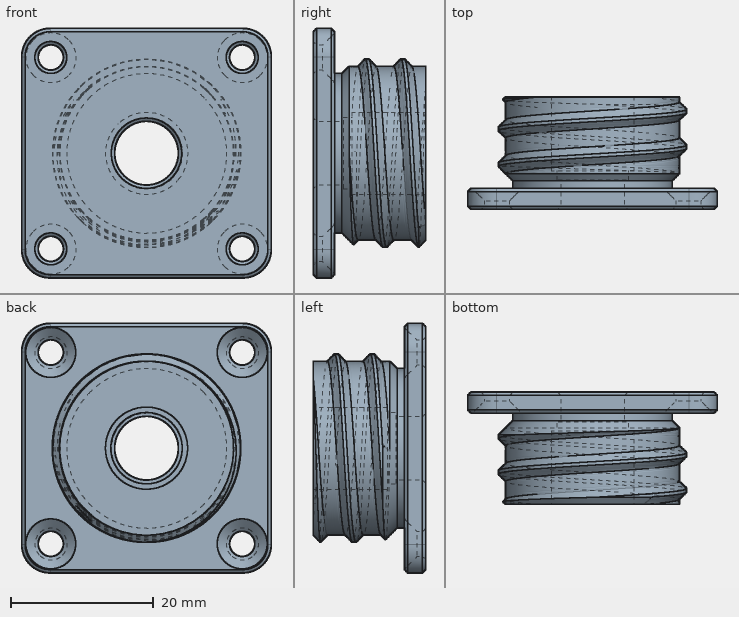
import cadquery as cq
import math

flange_side = 35
flange_thickness = 3.0
corner_radius = 4.02
edge_chamfer = 0.5
screw_hole_diameter = 3.5
screw_head_diameter = 7
screw_hole_spacing = 26.8

overall_length = 15.8
neck_diameter = 22.4
root_diameter = 24.4
neck_length = 1.0
flare_start = flange_thickness + neck_length

bore_diameter = 8.9
seat_diameter = 10.0
seat_start = 4.2
seat_length = 1.22
cavity_diameter = 11.5

thread_pitch = 5.0
thread_height = 1.0
crest_width = 0.5
thread_crest_position = 3.78


def chamfered_hole(diameter, length):
    """Cutter for a hole rising along Z from the outer face, with a 45 degree chamfer at its mouth."""
    radius = diameter / 2
    return (
        cq.Workplane("XZ")
        .lineTo(radius + edge_chamfer, 0)
        .lineTo(radius, edge_chamfer)
        .lineTo(radius, length)
        .lineTo(0, length)
        .close()
        .revolve(360, (0, 0, 0), (0, 1, 0))
    )


def make_flange():
    plate = (
        cq.Workplane("XY")
        .rect(flange_side, flange_side)
        .extrude(flange_thickness)
        .edges("|Z").fillet(corner_radius)
        .faces("<Z or >Z").edges().chamfer(edge_chamfer)
    )
    head_radius = screw_head_diameter / 2
    countersink = cq.Workplane(
        cq.Solid.makeCone(
            0, head_radius, head_radius, pnt=cq.Vector(0, 0, flange_thickness - head_radius)
        )
    )
    screw_hole = chamfered_hole(screw_hole_diameter, flange_thickness).union(countersink)
    offset = screw_hole_spacing / 2
    for x in (-offset, offset):
        for y in (-offset, offset):
            plate = plate.cut(screw_hole.translate((x, y, 0)))
    return plate


def make_outer_relief():
    """Ring cutter that leaves the neck and its flare, and bevels the thread at the free end."""
    neck_radius = neck_diameter / 2
    root_radius = root_diameter / 2
    outer_radius = flange_side / 2
    flare_rise = outer_radius - neck_radius
    bevel_drop = outer_radius - root_radius
    neck_ring = (
        cq.Workplane("XZ")
        .moveTo(neck_radius, 0)
        .lineTo(neck_radius, flare_start)
        .lineTo(outer_radius, flare_start + flare_rise)
        .lineTo(outer_radius, 0)
        .close()
        .revolve(360, (0, 0, 0), (0, 1, 0))
    )
    end_ring = (
        cq.Workplane("XZ")
        .moveTo(root_radius, overall_length)
        .lineTo(outer_radius, overall_length)
        .lineTo(outer_radius, overall_length - bevel_drop)
        .close()
        .revolve(360, (0, 0, 0), (0, 1, 0))
    )
    return neck_ring.union(end_ring)


def polar_point(radius, angle):
    return radius * math.cos(math.radians(angle)), radius * math.sin(math.radians(angle))


def make_threaded_cylinder():
    """Cross-section of core and thread, twisted along the axis by one turn per pitch."""
    root_radius = root_diameter / 2
    crest_radius = root_radius + thread_height
    degrees_per_length = 360 / thread_pitch
    length = overall_length - flange_thickness
    half_crest = crest_width / 2 * degrees_per_length
    half_base = (crest_width / 2 + thread_height) * degrees_per_length
    crest_angle = (flange_thickness - thread_crest_position) * degrees_per_length
    middle_radius = (root_radius + crest_radius) / 2
    middle_angle = (half_base + half_crest) / 2
    section = (
        cq.Workplane("XY")
        .moveTo(*polar_point(root_radius, -half_base))
        .threePointArc(polar_point(middle_radius, -middle_angle), polar_point(crest_radius, -half_crest))
        .threePointArc((crest_radius, 0), polar_point(crest_radius, half_crest))
        .threePointArc(polar_point(middle_radius, middle_angle), polar_point(root_radius, half_base))
        .threePointArc((-root_radius, 0), polar_point(root_radius, -half_base))
        .close()
    )
    return (
        section
        .twistExtrude(length, length * degrees_per_length)
        .rotate((0, 0, 0), (0, 0, 1), crest_angle)
        .translate((0, 0, flange_thickness))
    )


def make_interior():
    """Cutter for the stepped bore, widening towards the free end."""
    bore = chamfered_hole(bore_diameter, seat_start)
    seat = (
        cq.Workplane("XY", origin=(0, 0, seat_start))
        .circle(seat_diameter / 2)
        .extrude(seat_length)
        .faces(">Z").workplane()
        .circle(cavity_diameter / 2)
        .extrude(overall_length - seat_start - seat_length)
    )
    return bore.union(seat)


body = make_flange().union(make_threaded_cylinder().cut(make_outer_relief())).cut(make_interior())

result = body.rotate((0, 0, 0), (1, 0, 0), -90)